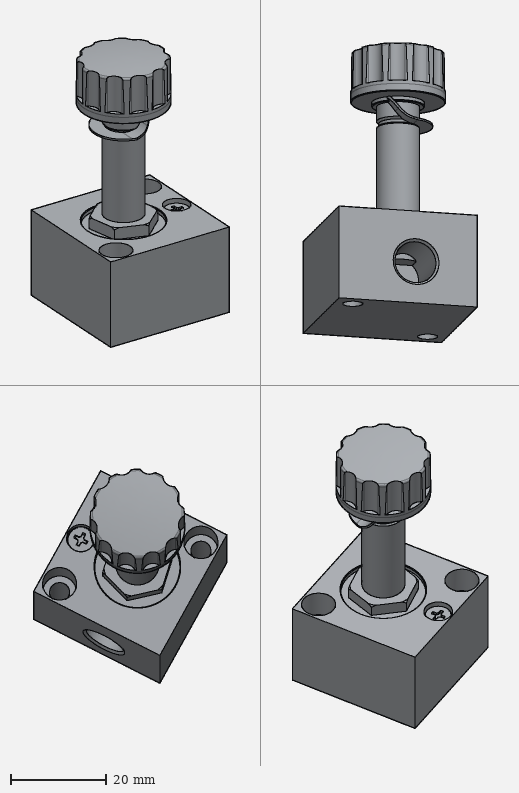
import cadquery as cq
import math

TOTAL_HEIGHT = 58.4
BLOCK_SIDE = 30.0
BLOCK_HEIGHT = 20.0
AXIS_Y = -1.7

MOUNT_OFFSET = 11.0
MOUNT_HOLE_R = 2.1
MOUNT_BORE_R = 3.55
MOUNT_BORE_DEPTH = 6.0

SCREW_Y = 11.75
SCREW_RECESS_R = 3.0
SCREW_HEAD_R = 2.75
SCREW_RECESS_DEPTH = 1.0
SCREW_HEAD_HEIGHT = 0.6
CROSS_LENGTH = 3.05
CROSS_WIDTH = 0.65
CROSS_DEPTH = 0.5
CROSS_TIP_SLOPE = 0.25
CROSS_CORE_SIDE = 1.35

PORT_Z = 9.0
PORT_R = 4.45
PORT_CHAMFER = 0.5
PORT_DEPTH = BLOCK_SIDE / 2

NUT_RECESS_R = 8.95
NUT_RECESS_CHAMFER = 0.2
NUT_RECESS_DEPTH = 1.0
NUT_FLATS = 12.95
NUT_PROTRUSION = 1.7
NUT_TURN = 11.2
NUT_TOP_R = 7.05

STEM_R = 4.55
STEM_BOTTOM_Z = 12.2
GROOVE_R = 4.1
GROOVE_BOTTOM_Z = 42.1
GROOVE_TOP_Z = 42.8
GROOVE_LOWER_CHAMFER = 0.35
GROOVE_UPPER_CHAMFER = 0.45

CLIP_R = 7.3
CLIP_THICKNESS = 0.4
CLIP_BEND_Y = -2.45
CLIP_BEND_R = 4.95
CLIP_BEND_ANGLE = 57.0
CLIP_OUTLINE_POINTS = 8

KNOB_R = 10.0
KNOB_TOP_R = 9.85
KNOB_BOTTOM_Z = 47.35
KNOB_TAPER_Z = 48.95
KNOB_RIM_Z = 57.95
KNOB_RIM_ROUND = 0.45
KNOB_BOTTOM_CHAMFER = 0.2
COLLAR_R = 5.55
COLLAR_BOTTOM_Z = 46.4
FLUTE_COUNT = 12
FLUTE_BOTTOM_Z = 49.7
FLUTE_R = 2.2
FLUTE_AXIS_R = 11.15
FLUTE_EDGE_ROUND = 0.7


def disc(radius, bottom_z, top_z, y=AXIS_Y):
    """Upright cylinder between two heights."""
    return cq.Workplane("XY", origin=(0, y, bottom_z)).circle(radius).extrude(top_z - bottom_z)


def on_axis(solid):
    """Move a solid centred on Z onto the stem axis."""
    return solid.translate((0, AXIS_Y, 0))


def make_block():
    block = cq.Workplane("XY").box(BLOCK_SIDE, BLOCK_SIDE, BLOCK_HEIGHT, centered=(True, True, False))
    corners = [(-MOUNT_OFFSET, MOUNT_OFFSET), (MOUNT_OFFSET, -MOUNT_OFFSET)]
    block = (
        block.faces(">Z").workplane(origin=(0, 0, 0)).pushPoints(corners)
        .cboreHole(2 * MOUNT_HOLE_R, 2 * MOUNT_BORE_R, MOUNT_BORE_DEPTH)
    )
    return block.cut(make_nut_recess()).cut(make_screw_recess()).cut(make_port())


def make_nut_recess():
    """Shallow round recess with a chamfered rim, as a solid to remove."""
    mouth_r = NUT_RECESS_R + NUT_RECESS_CHAMFER
    profile = [
        (0, BLOCK_HEIGHT - NUT_RECESS_DEPTH),
        (NUT_RECESS_R, BLOCK_HEIGHT - NUT_RECESS_DEPTH),
        (NUT_RECESS_R, BLOCK_HEIGHT - NUT_RECESS_CHAMFER),
        (mouth_r, BLOCK_HEIGHT),
        (0, BLOCK_HEIGHT),
    ]
    return on_axis(cq.Workplane("XZ").polyline(profile).close().revolve())


def make_screw_recess():
    """Recess, narrow gap around the screw head and cross slot, as a solid to remove."""
    head_z = BLOCK_HEIGHT - SCREW_RECESS_DEPTH
    recess = disc(SCREW_RECESS_R, head_z - SCREW_HEAD_HEIGHT, BLOCK_HEIGHT, SCREW_Y)
    head = disc(SCREW_HEAD_R, head_z - SCREW_HEAD_HEIGHT, head_z, SCREW_Y)
    return recess.cut(head).union(make_cross().translate((0, SCREW_Y, head_z)))


def make_cross():
    """Two crossing arms with sloping tips and a square core turned by 45 degrees."""
    top_x = CROSS_LENGTH / 2
    floor_x = top_x - CROSS_TIP_SLOPE
    arm = (
        cq.Workplane("XZ")
        .polyline([(-top_x, 0), (top_x, 0), (floor_x, -CROSS_DEPTH), (-floor_x, -CROSS_DEPTH)])
        .close().extrude(CROSS_WIDTH / 2, both=True)
    )
    core = (
        cq.Workplane("XY").rect(CROSS_CORE_SIDE, CROSS_CORE_SIDE).extrude(-CROSS_DEPTH)
        .rotate((0, 0, 0), (0, 0, 1), 45)
    )
    return arm.union(arm.rotate((0, 0, 0), (0, 0, 1), 90)).union(core)


def make_port():
    """Blind bore from the -X face with a chamfered mouth, as a solid to remove."""
    mouth_r = PORT_R + PORT_CHAMFER
    profile = [
        (0, 0), (mouth_r, 0), (PORT_R, PORT_CHAMFER), (PORT_R, PORT_DEPTH), (0, PORT_DEPTH),
    ]
    bore = cq.Workplane("XZ").polyline(profile).close().revolve()
    return bore.rotate((0, 0, 0), (0, 1, 0), 90).translate((-BLOCK_SIDE / 2, AXIS_Y, PORT_Z))


def make_nut():
    bottom_z = BLOCK_HEIGHT - NUT_RECESS_DEPTH
    top_z = BLOCK_HEIGHT + NUT_PROTRUSION
    corner_r = NUT_FLATS / 2 / math.cos(math.pi / 6)
    chamfer = corner_r - NUT_TOP_R
    hexagon = (
        cq.Workplane("XY").workplane(offset=bottom_z)
        .polygon(6, 2 * corner_r).extrude(top_z - bottom_z)
        .rotate((0, 0, 0), (0, 0, 1), NUT_TURN)
    )
    envelope = (
        cq.Workplane("XZ")
        .polyline([
            (0, bottom_z), (corner_r, bottom_z), (corner_r, top_z - chamfer), (NUT_TOP_R, top_z), (0, top_z),
        ])
        .close().revolve()
    )
    return on_axis(hexagon.intersect(envelope))


def make_stem():
    lower_edge_r = STEM_R - GROOVE_LOWER_CHAMFER
    profile = [
        (0, STEM_BOTTOM_Z),
        (STEM_R, STEM_BOTTOM_Z),
        (STEM_R, GROOVE_BOTTOM_Z - GROOVE_LOWER_CHAMFER),
        (lower_edge_r, GROOVE_BOTTOM_Z),
        (GROOVE_R, GROOVE_BOTTOM_Z),
        (GROOVE_R, GROOVE_TOP_Z),
        (STEM_R, GROOVE_TOP_Z + GROOVE_UPPER_CHAMFER),
        (STEM_R, KNOB_BOTTOM_Z),
        (0, KNOB_BOTTOM_Z),
    ]
    return on_axis(cq.Workplane("XZ").polyline(profile).close().revolve())


def make_clip():
    """Bent strip trimmed to the plan outline that a round disc takes once bent."""
    angle = math.radians(CLIP_BEND_ANGLE)
    middle_r = CLIP_BEND_R - CLIP_THICKNESS / 2
    bend_length = middle_r * angle
    tail_length = CLIP_R - CLIP_BEND_Y - bend_length
    inner_r = CLIP_BEND_R - CLIP_THICKNESS
    start_turn = math.asin(CLIP_BEND_Y / CLIP_R)
    chord_x = math.sqrt(CLIP_R**2 - CLIP_BEND_Y**2)

    def bent_y(distance):
        """Y reached after the given length along the strip from the start of the bend."""
        arc_y = CLIP_BEND_Y + middle_r * math.sin(min(distance, bend_length) / middle_r)
        return arc_y + max(distance - bend_length, 0) * math.cos(angle)

    def outline_point(step):
        """Point of the round edge of the bent side, from the +X end to the -X end."""
        turn = start_turn + (math.pi - 2 * start_turn) * step / CLIP_OUTLINE_POINTS
        return (CLIP_R * math.cos(turn), bent_y(CLIP_R * math.sin(turn) - CLIP_BEND_Y))

    path = (
        cq.Workplane("YZ").moveTo(-CLIP_R, 0).lineTo(CLIP_BEND_Y, 0)
        .threePointArc(
            (CLIP_BEND_Y + CLIP_BEND_R * math.sin(angle / 2), CLIP_BEND_R * (1 - math.cos(angle / 2))),
            (CLIP_BEND_Y + CLIP_BEND_R * math.sin(angle), CLIP_BEND_R * (1 - math.cos(angle))),
        )
        .line(tail_length * math.cos(angle), tail_length * math.sin(angle))
        .line(-CLIP_THICKNESS * math.sin(angle), CLIP_THICKNESS * math.cos(angle))
        .line(-tail_length * math.cos(angle), -tail_length * math.sin(angle))
    )
    strip = (
        path.threePointArc(
            (CLIP_BEND_Y + inner_r * math.sin(angle / 2), CLIP_BEND_R - inner_r * math.cos(angle / 2)),
            (CLIP_BEND_Y, CLIP_THICKNESS),
        )
        .lineTo(-CLIP_R, CLIP_THICKNESS).close().extrude(CLIP_R, both=True)
    )
    bent_edge = [outline_point(step) for step in range(1, CLIP_OUTLINE_POINTS + 1)]
    outline = (
        cq.Workplane("XY").moveTo(-chord_x, CLIP_BEND_Y)
        .threePointArc((0, -CLIP_R), (chord_x, CLIP_BEND_Y))
        .spline(bent_edge, includeCurrent=True).close()
        .extrude(2 * CLIP_R)
    )
    return strip.intersect(outline).translate((0, AXIS_Y, GROOVE_BOTTOM_Z))


def make_knob():
    round_z = KNOB_RIM_Z - KNOB_RIM_ROUND
    crown_r = KNOB_TOP_R - KNOB_RIM_ROUND
    diagonal = KNOB_RIM_ROUND * math.sqrt(0.5)
    crown_rise = TOTAL_HEIGHT - KNOB_RIM_Z
    crown_middle_z = TOTAL_HEIGHT - crown_rise / 4
    body = on_axis(
        cq.Workplane("XZ").moveTo(0, KNOB_BOTTOM_Z).lineTo(KNOB_R, KNOB_BOTTOM_Z)
        .lineTo(KNOB_R, KNOB_TAPER_Z).lineTo(KNOB_TOP_R, round_z)
        .threePointArc((crown_r + diagonal, round_z + diagonal), (crown_r, KNOB_RIM_Z))
        .threePointArc((crown_r / 2, crown_middle_z), (0, TOTAL_HEIGHT))
        .close().revolve()
    )
    grip = (
        disc(KNOB_R, FLUTE_BOTTOM_Z, TOTAL_HEIGHT)
        .cut(
            cq.Workplane("XY", origin=(0, AXIS_Y, FLUTE_BOTTOM_Z))
            .polarArray(FLUTE_AXIS_R, 180 / FLUTE_COUNT, 360, FLUTE_COUNT)
            .circle(FLUTE_R).extrude(TOTAL_HEIGHT - FLUTE_BOTTOM_Z)
        )
    )
    grip = grip.edges("|Z").fillet(FLUTE_EDGE_ROUND)
    base = disc(KNOB_R, KNOB_BOTTOM_Z, FLUTE_BOTTOM_Z).faces("<Z").chamfer(KNOB_BOTTOM_CHAMFER)
    collar = disc(COLLAR_R, COLLAR_BOTTOM_Z, KNOB_BOTTOM_Z).faces("<Z").chamfer(KNOB_BOTTOM_CHAMFER)
    return body.intersect(base.union(grip)).union(collar)


result = make_block().union(make_stem()).union(make_nut()).union(make_clip()).union(make_knob())